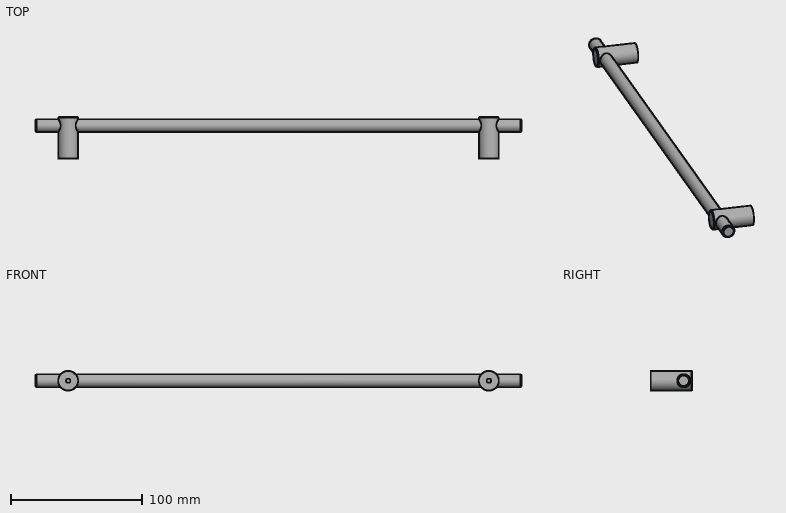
import cadquery as cq

bar_length = 370.0
bar_diameter = 10.0
bar_end_chamfer = 1.0

post_spacing = 320.0
post_diameter = 15.0
post_length = 32.0
post_back_chamfer = 0.7
bar_axis_to_post_back = 6.5

screw_hole_diameter = 3.5
screw_hole_depth = 14.8

post_back_y = bar_axis_to_post_back
post_front_y = post_back_y - post_length


def make_bar():
    """Round bar centred on the origin, chamfered at both ends."""
    bar = cq.Workplane("YZ").circle(bar_diameter / 2).extrude(bar_length / 2, both=True)
    return bar.faces("<X or >X").chamfer(bar_end_chamfer)


def make_post(x):
    """Round post with a chamfered back rim."""
    back_plane = cq.Workplane("XZ", origin=(x, post_back_y, 0))
    post = back_plane.circle(post_diameter / 2).extrude(post_length)
    return post.faces(">Y").chamfer(post_back_chamfer)


def make_screw_hole(x):
    """Cutter for the blind screw hole in the front face of a post."""
    front_plane = cq.Workplane("XZ", origin=(x, post_front_y, 0))
    return front_plane.circle(screw_hole_diameter / 2).extrude(-screw_hole_depth)


result = make_bar()
for post_x in (-post_spacing / 2, post_spacing / 2):
    result = result.union(make_post(post_x)).cut(make_screw_hole(post_x))